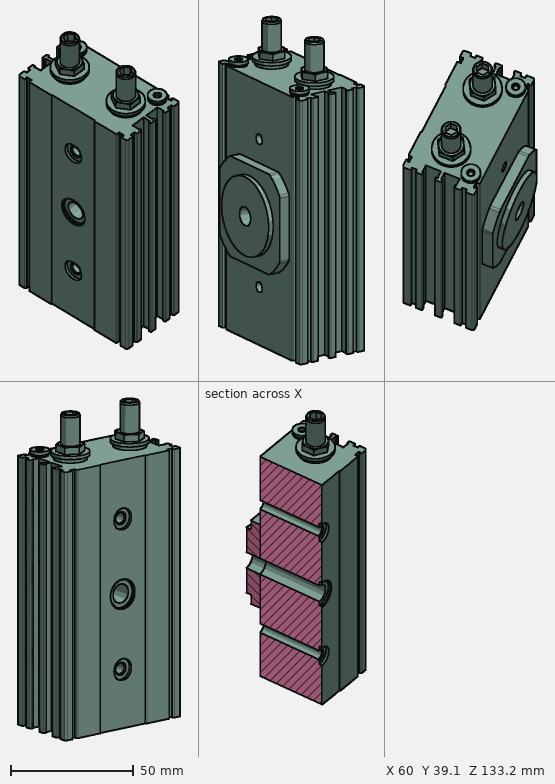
import cadquery as cq
import math

HOUSING_WIDTH = 60.0
HOUSING_DEPTH = 32.1
HOUSING_HEIGHT = 114.0
CORNER_RADIUS = 0.9
EDGE_RADIUS = 0.33

FACE_SLOT_INNER_X = 24.1
FACE_SLOT_LIP_X = 26.0
FACE_SLOT_UNDERCUT_X = 26.6
FACE_SLOT_DEPTH = 1.6
FACE_SLOT_LIP = 0.9
FACE_SLOT_LIP_RADIUS = 0.7

SIDE_SLOT_DEPTH = 1.3
SIDE_SLOT_WIDTH = 2.1
SIDE_SLOT_INSET = 4.8

POCKET_DEPTH = 4.7
POCKET_WIDTH = 15.2
POCKET_MOUTH_WIDTH = 14.2
POCKET_LIP = 1.3
RIB_WIDTH = 1.6
RIB_HEAD_WIDTH = 3.0

RELIEF_WIDTH = 23.5
RELIEF_DEPTH = 0.4

HOLE_PITCH = 32.0
SCREW_HOLE_DIAMETER = 4.4
SCREW_HOLE_MOUTH_DIAMETER = 5.5
SCREW_HEAD_DIAMETER = 9.0
SCREW_HEAD_DEPTH = 1.7
CENTRE_HOLE_DIAMETER = 8.0
CENTRE_RECESS_DIAMETER = 12.0
CENTRE_RECESS_DEPTH = 1.7
CENTRE_RECESS_CHAMFER = 0.4

FLANGE_SIZE = 43.4
FLANGE_THICKNESS = 4.7
FLANGE_CORNER_CIRCLE = 51.9
FLANGE_EDGE_RADIUS = 2.0
PILOT_DIAMETER = 34.1
PILOT_THICKNESS = 2.3

SCREW_X = 15.5
SCREW_Y = 15.3
SCREW_DIAMETER = 8.0
SCREW_LENGTH = 19.2
SCREW_CHAMFER_RADIAL = 0.4
SCREW_CHAMFER_HEIGHT = 0.8
SOCKET_FLATS = 4.8
SOCKET_DEPTH = 4.0

WASHER_BASE_DIAMETER = 13.8
WASHER_BASE_HEIGHT = 1.7
WASHER_RIM_DIAMETER = 16.0
WASHER_RIM_HEIGHT = 1.5

NUT_CORNER_DIAMETER = 12.0
NUT_HEIGHT = 3.0
NUT_CHAMFER_HEIGHT = 0.3
NUT_FACE_DIAMETER = NUT_CORNER_DIAMETER * math.cos(math.pi / 6)

PLUG_X = 22.1
PLUG_Y = 27.2
PLUG_DIAMETER = 8.0
PLUG_NECK_DIAMETER = 7.2
PLUG_NECK_HEIGHT = 0.8
PLUG_HEIGHT = 2.4
PLUG_HOLE_DIAMETER = 2.7
PLUG_HOLE_MOUTH_DIAMETER = 3.2
PLUG_HOLE_DEPTH = 1.6

HALF_WIDTH = HOUSING_WIDTH / 2
MID_DEPTH = HOUSING_DEPTH / 2
MID_HEIGHT = HOUSING_HEIGHT / 2
POSITION_TOLERANCE = 0.01
WASHER_HEIGHT = WASHER_BASE_HEIGHT + WASHER_RIM_HEIGHT


def full_height_block(x_min, x_max, y_min, y_max):
    """Block over the whole housing height, given by its X and Y limits."""
    block = cq.Workplane("XY").box(x_max - x_min, y_max - y_min, HOUSING_HEIGHT, centered=False)
    return block.translate((x_min, y_min, 0))


def y_cylinder(diameter, y_start, y_end, z):
    """Cylinder along +Y on the plane X = 0."""
    axis_start = cq.Vector(0, y_start, z)
    return cq.Workplane(
        cq.Solid.makeCylinder(diameter / 2, y_end - y_start, axis_start, cq.Vector(0, 1, 0))
    )


def y_cone(start_diameter, end_diameter, y_start, y_end, z):
    """Cone frustum along +Y on the plane X = 0."""
    axis_start = cq.Vector(0, y_start, z)
    return cq.Workplane(
        cq.Solid.makeCone(
            start_diameter / 2, end_diameter / 2, y_end - y_start, axis_start, cq.Vector(0, 1, 0)
        )
    )


def make_face_slot():
    """Slot in the front face at +X, undercut behind its outer lip."""
    mouth = full_height_block(FACE_SLOT_INNER_X, FACE_SLOT_LIP_X, 0, FACE_SLOT_DEPTH)
    undercut = full_height_block(
        FACE_SLOT_INNER_X, FACE_SLOT_UNDERCUT_X, FACE_SLOT_LIP, FACE_SLOT_DEPTH
    )
    return mouth.union(undercut)


def make_side_slot():
    """Plain slot in the +X side near the front face."""
    return full_height_block(
        HALF_WIDTH - SIDE_SLOT_DEPTH,
        HALF_WIDTH,
        SIDE_SLOT_INSET - SIDE_SLOT_WIDTH / 2,
        SIDE_SLOT_INSET + SIDE_SLOT_WIDTH / 2,
    )


def make_side_pocket():
    """Channel in the +X side between the front lip and the central rib."""
    lip_x = HALF_WIDTH - POCKET_LIP
    inside = full_height_block(
        HALF_WIDTH - POCKET_DEPTH, lip_x, MID_DEPTH - POCKET_WIDTH / 2, MID_DEPTH - RIB_WIDTH / 2
    )
    mouth = full_height_block(
        lip_x, HALF_WIDTH, MID_DEPTH - POCKET_MOUTH_WIDTH / 2, MID_DEPTH - RIB_HEAD_WIDTH / 2
    )
    return inside.union(mouth)


def in_four_quadrants(cutter):
    """A cutter at +X and the front, with its mirror copies at -X and at the back."""
    pair = cutter.union(cutter.mirror("YZ"))
    return pair.union(pair.mirror("XZ", (0, MID_DEPTH, 0)))


def make_screw_hole(z):
    """Counterbored through hole with a chamfered mouth at the counterbore floor."""
    mouth_end = SCREW_HEAD_DEPTH + (SCREW_HOLE_MOUTH_DIAMETER - SCREW_HOLE_DIAMETER) / 2
    head = y_cylinder(SCREW_HEAD_DIAMETER, 0, SCREW_HEAD_DEPTH, z)
    mouth = y_cone(SCREW_HOLE_MOUTH_DIAMETER, SCREW_HOLE_DIAMETER, SCREW_HEAD_DEPTH, mouth_end, z)
    bore = y_cylinder(SCREW_HOLE_DIAMETER, 0, HOUSING_DEPTH, z)
    return head.union(mouth).union(bore)


def make_centre_hole():
    """Through hole with a chamfered locating recess in the front relief."""
    recess = y_cylinder(CENTRE_RECESS_DIAMETER, 0, CENTRE_RECESS_DEPTH, MID_HEIGHT)
    chamfer = y_cone(
        CENTRE_RECESS_DIAMETER + 2 * CENTRE_RECESS_CHAMFER,
        CENTRE_RECESS_DIAMETER,
        RELIEF_DEPTH,
        RELIEF_DEPTH + CENTRE_RECESS_CHAMFER,
        MID_HEIGHT,
    )
    bore = y_cylinder(CENTRE_HOLE_DIAMETER, 0, HOUSING_DEPTH, MID_HEIGHT)
    return recess.union(chamfer).union(bore)


def vertical_edges(body, x, y_min, y_max):
    """Vertical edges of the body at X = +x and X = -x, between two Y limits."""
    edges = body.edges("|Z")
    return edges.filter(
        lambda edge: abs(abs(edge.Center().x) - x) < POSITION_TOLERANCE
        and y_min - POSITION_TOLERANCE < edge.Center().y < y_max + POSITION_TOLERANCE
    )


def round_profile_edges(body):
    """Round the outer corners of the profile and the mouths of its slots and relief."""
    for face_y in (0, HOUSING_DEPTH):
        body = vertical_edges(body, HALF_WIDTH, face_y, face_y).fillet(CORNER_RADIUS)
    side_start = SIDE_SLOT_INSET - SIDE_SLOT_WIDTH / 2
    body = vertical_edges(body, HALF_WIDTH, side_start, HOUSING_DEPTH - side_start).fillet(EDGE_RADIUS)
    for face_y in (0, HOUSING_DEPTH):
        body = vertical_edges(body, FACE_SLOT_LIP_X, face_y, face_y).fillet(FACE_SLOT_LIP_RADIUS)
        body = vertical_edges(body, FACE_SLOT_INNER_X, face_y, face_y).fillet(EDGE_RADIUS)
    return vertical_edges(body, RELIEF_WIDTH / 2, 0, 0).fillet(EDGE_RADIUS)


def make_housing():
    """Slotted extrusion with three holes through it from front to back."""
    body = full_height_block(-HALF_WIDTH, HALF_WIDTH, 0, HOUSING_DEPTH)
    for cutter in (make_face_slot(), make_side_slot(), make_side_pocket()):
        body = body.cut(in_four_quadrants(cutter))
    body = body.cut(full_height_block(-RELIEF_WIDTH / 2, RELIEF_WIDTH / 2, 0, RELIEF_DEPTH))
    body = round_profile_edges(body)
    for side in (-1, 1):
        body = body.cut(make_screw_hole(MID_HEIGHT + side * HOLE_PITCH))
    return body.cut(make_centre_hole())


def make_table():
    """Square flange with trimmed corners, a round pilot and a centre hole."""
    flange_back = HOUSING_DEPTH + FLANGE_THICKNESS
    pilot_back = flange_back + PILOT_THICKNESS
    flange = (
        cq.Workplane("XY")
        .box(FLANGE_SIZE, FLANGE_THICKNESS, FLANGE_SIZE)
        .translate((0, HOUSING_DEPTH + FLANGE_THICKNESS / 2, MID_HEIGHT))
    )
    flange = flange.intersect(
        y_cylinder(FLANGE_CORNER_CIRCLE, HOUSING_DEPTH, flange_back, MID_HEIGHT)
    )
    flange = flange.edges("|Y").fillet(FLANGE_EDGE_RADIUS)
    pilot = y_cylinder(PILOT_DIAMETER, flange_back, pilot_back, MID_HEIGHT)
    bore = y_cylinder(CENTRE_HOLE_DIAMETER, HOUSING_DEPTH, pilot_back, MID_HEIGHT)
    return flange.union(pilot).cut(bore)


def make_washer():
    """Seal washer: a wide rim on a narrower base."""
    base = cq.Workplane("XY").circle(WASHER_BASE_DIAMETER / 2).extrude(WASHER_BASE_HEIGHT)
    rim = (
        cq.Workplane("XY", origin=(0, 0, WASHER_BASE_HEIGHT))
        .circle(WASHER_RIM_DIAMETER / 2)
        .extrude(WASHER_RIM_HEIGHT)
    )
    bore = cq.Workplane("XY").circle(SCREW_DIAMETER / 2).extrude(WASHER_HEIGHT)
    return base.union(rim).cut(bore)


def make_nut():
    """Hexagon nut with corners toward +Y and -Y, chamfered on top."""
    hexagon = (
        cq.Workplane("XY")
        .polygon(6, NUT_CORNER_DIAMETER)
        .extrude(NUT_HEIGHT)
        .rotate((0, 0, 0), (0, 0, 1), 90)
    )
    shoulder = NUT_HEIGHT - NUT_CHAMFER_HEIGHT
    chamfer_limit = (
        cq.Workplane("XZ")
        .polyline([
            (0, 0),
            (NUT_CORNER_DIAMETER / 2, 0),
            (NUT_CORNER_DIAMETER / 2, shoulder),
            (NUT_FACE_DIAMETER / 2, NUT_HEIGHT),
            (0, NUT_HEIGHT),
        ])
        .close()
        .revolve(360, (0, 0, 0), (0, 1, 0))
    )
    bore = cq.Workplane("XY").circle(SCREW_DIAMETER / 2).extrude(NUT_HEIGHT)
    return hexagon.intersect(chamfer_limit).cut(bore)


def make_screw():
    """Adjusting screw with a chamfered end and a hexagon socket."""
    shank = cq.Workplane("XY").circle(SCREW_DIAMETER / 2).extrude(SCREW_LENGTH)
    shank = shank.faces(">Z").edges().chamfer(SCREW_CHAMFER_HEIGHT, SCREW_CHAMFER_RADIAL)
    socket = (
        cq.Workplane("XY")
        .polygon(6, SOCKET_FLATS / math.cos(math.pi / 6))
        .extrude(SOCKET_DEPTH)
        .rotate((0, 0, 0), (0, 0, 1), 90)
        .translate((0, 0, SCREW_LENGTH - SOCKET_DEPTH))
    )
    return shank.cut(socket)


def make_plug():
    """Port plug: a round head on a short neck, with a blind hole."""
    neck = cq.Workplane("XY").circle(PLUG_NECK_DIAMETER / 2).extrude(PLUG_NECK_HEIGHT)
    head = (
        cq.Workplane("XY", origin=(0, 0, PLUG_NECK_HEIGHT))
        .circle(PLUG_DIAMETER / 2)
        .extrude(PLUG_HEIGHT - PLUG_NECK_HEIGHT)
    )
    hole = (
        cq.Workplane("XY", origin=(0, 0, PLUG_HEIGHT))
        .circle(PLUG_HOLE_DIAMETER / 2)
        .extrude(-PLUG_HOLE_DEPTH)
    )
    plug = neck.union(head).cut(hole)
    mouth_chamfer = (PLUG_HOLE_MOUTH_DIAMETER - PLUG_HOLE_DIAMETER) / 2
    return plug.faces(">Z").edges(cq.selectors.RadiusNthSelector(0)).chamfer(mouth_chamfer)


bodies = [make_housing().val(), make_table().val()]
for side in (-1, 1):
    screw_foot = (side * SCREW_X, SCREW_Y, HOUSING_HEIGHT)
    nut_foot = (side * SCREW_X, SCREW_Y, HOUSING_HEIGHT + WASHER_HEIGHT)
    plug_foot = (side * PLUG_X, PLUG_Y, HOUSING_HEIGHT)
    bodies.append(make_washer().translate(screw_foot).val())
    bodies.append(make_nut().translate(nut_foot).val())
    bodies.append(make_screw().translate(screw_foot).val())
    bodies.append(make_plug().translate(plug_foot).val())

result = cq.Compound.makeCompound(bodies)